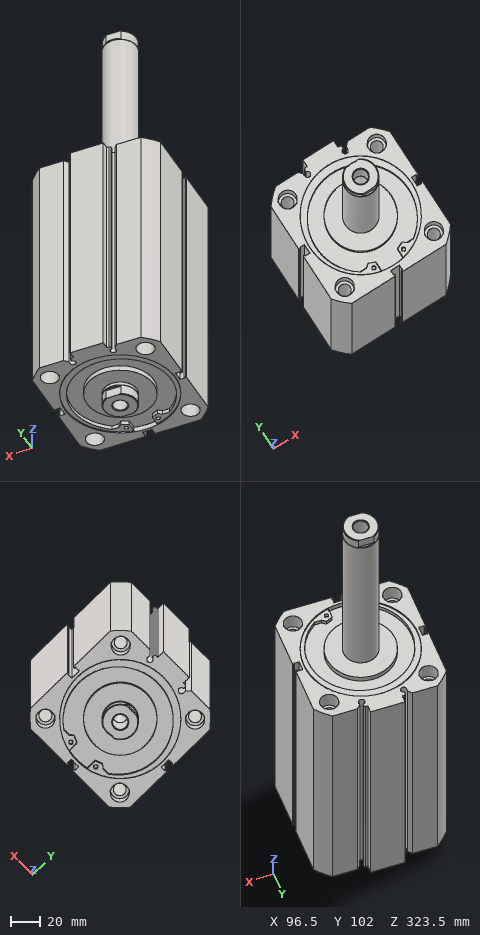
import cadquery as cq
import math

body_width = 96.5
body_height = 178.0
body_half = body_width / 2
corner_diameter = 123.0
port_block_width = 25.0
port_block_rise = 5.5
bore_diameter = 82.5
bolt_pitch = 72.0
bolt_hole_diameter = 8.8
counterbore_diameter = 13.0
counterbore_depth = 12.0

slot_mouth = 5.0
slot_width = 7.0
slot_depth = 4.9
slot_lip = 1.3
slot_mouth_chamfer = 0.5

sensor_slot_x = 15.2
sensor_slot_radius = 2.1
sensor_slot_centre_depth = 4.8
sensor_mouth_outer_x = 20.0
sensor_lip_x = 14.2
sensor_lip_chamfer = 1.0

cover_boss_diameter = 50.0
cover_boss_height = 4.0
cover_plate_thickness = 20.0

ring_thickness = 3.0
ring_opening_radius = 37.5
ring_opening_offset = 2.0
ring_shoulder_y = -32.7
ear_gap_half = 8.7
ear_peak_x = 13.8
ear_peak_y = -30.6
ear_shoulder_x = 16.4
ear_hole_diameter = 2.8
ear_hole_x = 12.0
ear_hole_y = -35.3

rod_diameter = 25.0
rod_top_extension = 135.0
rod_bottom_extension = 10.5
rod_end_diameter = 24.7
rod_end_length = 8.0
rod_end_chamfer = 0.5
flat_spacing = 22.0
flat_length = 7.0
thread_hole_diameter = 10.4
thread_hole_depth = 25.0
thread_mouth_chamfer = 0.6
drill_tip_angle = 118.0


def mirrored_to_bottom(shape):
    """Copy of a top-end shape, mirrored about the middle height of the housing."""
    return shape.mirror("XY", (0, 0, body_height / 2))


def t_slot(direction):
    """T-slot cutter for the face whose outward normal is `direction` degrees from +X."""
    mouth = slot_mouth / 2
    wide = slot_width / 2
    lip_x = body_half - slot_lip
    half_outline = [
        (body_half, mouth + slot_mouth_chamfer),
        (body_half - slot_mouth_chamfer, mouth),
        (lip_x, mouth),
        (lip_x, wide),
        (body_half - slot_depth, wide),
    ]
    other_half = [(x, -y) for x, y in reversed(half_outline)]
    cutter = cq.Workplane("XY").polyline(half_outline + other_half).close().extrude(body_height)
    return cutter.rotate((0, 0, 0), (0, 0, 1), direction)


def sensor_slot():
    """Slot on the +X side of the port block: round bottom, mouth sloping away from the block."""
    left_wall = sensor_slot_x - sensor_slot_radius
    right_wall = sensor_slot_x + sensor_slot_radius
    centre_y = body_half - sensor_slot_centre_depth
    mouth_run = sensor_mouth_outer_x - right_wall
    lip_tip_x = sensor_lip_x + sensor_lip_chamfer
    lip_tip_y = body_half - sensor_lip_chamfer
    lip_base_y = centre_y + sensor_slot_radius
    return (
        cq.Workplane("XY")
        .moveTo(sensor_lip_x, body_half)
        .lineTo(sensor_mouth_outer_x, body_half)
        .lineTo(right_wall, body_half - mouth_run)
        .lineTo(right_wall, centre_y)
        .threePointArc((sensor_slot_x, centre_y - sensor_slot_radius), (left_wall, centre_y))
        .threePointArc(
            (
                sensor_slot_x - sensor_slot_radius * math.cos(math.radians(45)),
                centre_y + sensor_slot_radius * math.sin(math.radians(45)),
            ),
            (sensor_slot_x, lip_base_y),
        )
        .lineTo(lip_tip_x, lip_tip_y)
        .close()
        .extrude(body_height)
    )


def make_housing():
    block = cq.Workplane("XY").rect(body_width, body_width).extrude(body_height)
    corners = cq.Workplane("XY").circle(corner_diameter / 2).extrude(body_height)
    port_block = (
        cq.Workplane("XY")
        .center(0, port_block_rise / 2)
        .rect(port_block_width, body_width + port_block_rise)
        .extrude(body_height)
    )
    housing = block.intersect(corners).union(port_block)
    bore = cq.Workplane("XY").circle(bore_diameter / 2).extrude(body_height)
    housing = housing.cut(bore)

    bolt_holes = (
        cq.Workplane("XY")
        .rect(bolt_pitch, bolt_pitch, forConstruction=True)
        .vertices()
        .circle(bolt_hole_diameter / 2)
        .extrude(body_height)
    )
    counterbores = (
        cq.Workplane("XY", origin=(0, 0, body_height))
        .rect(bolt_pitch, bolt_pitch, forConstruction=True)
        .vertices()
        .circle(counterbore_diameter / 2)
        .extrude(-counterbore_depth)
    )
    housing = housing.cut(bolt_holes).cut(counterbores).cut(mirrored_to_bottom(counterbores))

    for direction in (0, 180, 270):
        housing = housing.cut(t_slot(direction))
    slot = sensor_slot()
    return housing.cut(slot).cut(slot.mirror("YZ"))


def make_top_cover():
    """Disc filling the bore, with a raised boss flush with the housing end."""
    plate_top = body_height - cover_boss_height
    return (
        cq.Workplane("XY", origin=(0, 0, plate_top - cover_plate_thickness))
        .circle(bore_diameter / 2)
        .extrude(cover_plate_thickness)
        .faces(">Z")
        .workplane()
        .circle(cover_boss_diameter / 2)
        .extrude(cover_boss_height)
        .cut(cq.Workplane("XY").circle(rod_diameter / 2).extrude(body_height))
    )


def make_top_ring():
    """Open ring, thickest opposite its gap, with an eared and drilled tip on each side of the gap."""
    outer_radius = bore_diameter / 2
    gap_outer_y = -math.sqrt(outer_radius**2 - ear_gap_half**2)
    shoulder_rise = ring_shoulder_y + ring_opening_offset
    opening_end_x = math.sqrt(ring_opening_radius**2 - shoulder_rise**2)
    plate_top = body_height - cover_boss_height
    return (
        cq.Workplane("XY", origin=(0, 0, plate_top))
        .moveTo(ear_gap_half, gap_outer_y)
        .threePointArc((0, outer_radius), (-ear_gap_half, gap_outer_y))
        .lineTo(-ear_gap_half, ring_shoulder_y)
        .lineTo(-ear_peak_x, ear_peak_y)
        .lineTo(-ear_shoulder_x, ring_shoulder_y)
        .lineTo(-opening_end_x, ring_shoulder_y)
        .threePointArc((0, ring_opening_radius - ring_opening_offset), (opening_end_x, ring_shoulder_y))
        .lineTo(ear_shoulder_x, ring_shoulder_y)
        .lineTo(ear_peak_x, ear_peak_y)
        .lineTo(ear_gap_half, ring_shoulder_y)
        .close()
        .extrude(ring_thickness)
        .faces(">Z")
        .workplane(origin=(0, 0, 0))
        .pushPoints([(-ear_hole_x, ear_hole_y), (ear_hole_x, ear_hole_y)])
        .hole(ear_hole_diameter)
    )


def rod_end_cutter():
    """Material removed from an upward rod end at Z = 0: two flats and a conical-bottomed hole."""
    hole_radius = thread_hole_diameter / 2
    tip_depth = hole_radius / math.tan(math.radians(drill_tip_angle / 2))
    hole = (
        cq.Workplane("YZ")
        .polyline(
            [
                (0, 0),
                (-hole_radius - thread_mouth_chamfer, 0),
                (-hole_radius, -thread_mouth_chamfer),
                (-hole_radius, -thread_hole_depth),
                (0, -thread_hole_depth - tip_depth),
            ]
        )
        .close()
        .revolve(360, (0, 0), (0, 1))
    )
    flats = (
        cq.Workplane("XY")
        .rect(2 * rod_diameter, 2 * rod_diameter)
        .rect(2 * rod_diameter, flat_spacing)
        .extrude(-flat_length)
    )
    return hole.union(flats)


def make_rod():
    rod_top = body_height + rod_top_extension
    rod_bottom = -rod_bottom_extension
    radius = rod_diameter / 2
    end_radius = rod_end_diameter / 2
    rod = (
        cq.Workplane("YZ")
        .polyline(
            [
                (0, rod_bottom),
                (-end_radius + rod_end_chamfer, rod_bottom),
                (-end_radius, rod_bottom + rod_end_chamfer),
                (-end_radius, rod_bottom + rod_end_length),
                (-radius, rod_bottom + rod_end_length),
                (-radius, rod_top - rod_end_length),
                (-end_radius, rod_top - rod_end_length),
                (-end_radius, rod_top - rod_end_chamfer),
                (-end_radius + rod_end_chamfer, rod_top),
                (0, rod_top),
            ]
        )
        .close()
        .revolve(360, (0, 0), (0, 1))
    )
    cutter = rod_end_cutter()
    top_cutter = cutter.translate((0, 0, rod_top))
    bottom_cutter = cutter.mirror("XY").translate((0, 0, rod_bottom))
    return rod.cut(top_cutter).cut(bottom_cutter)


housing = make_housing()
rod = make_rod()
top_cover = make_top_cover()
top_ring = make_top_ring()
covers = [top_cover, mirrored_to_bottom(top_cover)]
rings = [top_ring, mirrored_to_bottom(top_ring)]

bodies = [housing, rod, *covers, *rings]
result = cq.Compound.makeCompound([body.val() for body in bodies])